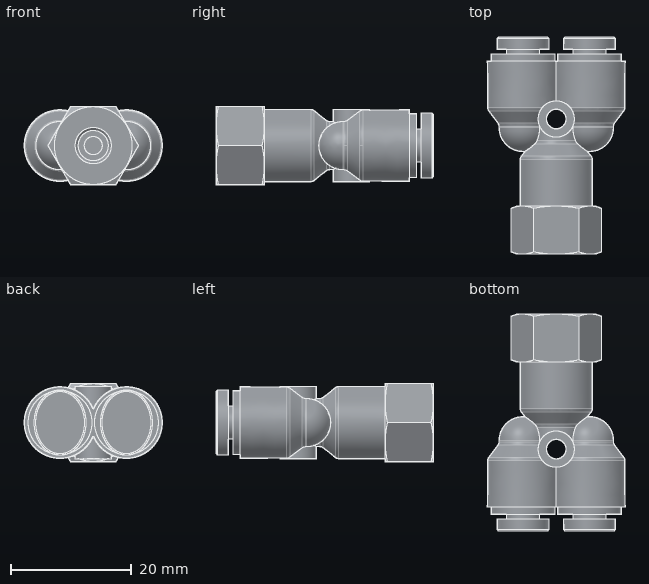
import cadquery as cq
import math


nut_across_flats = 13.0
nut_length = 8.0
nut_face_radius = 6.45
nut_bevel_angle = 20.0
thread_diameter = 5.0
thread_depth = 6.0
thread_mouth_diameter = 6.0
passage_diameter = 3.0

leg_spacing = 11.0
stem_radius = 6.0
neck_radius = 4.0
taper_length = 2.5
edge_round = 0.9
stem_taper_start = 16.0
leg_mouth_radius = 5.95
leg_shoulder_radius = 5.88
leg_mouth_y = 32.0
leg_shoulder_y = 24.0
ball_center_y = 21.0

boss_y = 22.4
boss_diameter = 6.0
boss_height = 12.0
boss_hole_diameter = 3.2

ring_diameter = 10.6
ring_length = 1.2
collar_stem_diameter = 5.5
collar_stem_length = 0.75
collar_width = 8.6
collar_height = 10.8
overall_length = 36.0
collar_chamfer = 0.25

leg_positions = [-leg_spacing / 2, leg_spacing / 2]
ring_back_y = leg_mouth_y + ring_length
collar_head_y = ring_back_y + collar_stem_length


def facing_back(x, y):
    """Workplane whose normal is +Y, centred on the axis at the given X."""
    return cq.Workplane(cq.Plane(origin=(x, y, 0), xDir=(1, 0, 0), normal=(0, 1, 0)))


def cylinder(x, y, diameter, length):
    """Solid cylinder running back along +Y from the given position."""
    return facing_back(x, y).circle(diameter / 2).extrude(length)


def revolve_about_y(profile):
    """Turn a closed (radius, Y) profile about the Y axis."""
    return profile.close().revolve(360, (0, 0, 0), (0, 1, 0))


def round_circles_at(solid, y_positions):
    """Round the circular edges of a turned solid that lie at the given Y positions."""
    edges = [
        edge for edge in solid.edges("%CIRCLE").vals()
        if any(math.isclose(edge.Center().y, y) for y in y_positions)
    ]
    return solid.newObject(edges).fillet(edge_round)


def make_stem():
    taper_end = stem_taper_start + taper_length
    profile = (
        cq.Workplane("XY")
        .moveTo(0, nut_length)
        .lineTo(stem_radius, nut_length)
        .lineTo(stem_radius, stem_taper_start)
        .lineTo(neck_radius, taper_end)
        .lineTo(neck_radius, boss_y)
        .lineTo(0, boss_y)
    )
    return round_circles_at(revolve_about_y(profile), [stem_taper_start, taper_end])


def make_leg(x):
    taper_end = leg_shoulder_y - taper_length
    diagonal = neck_radius * math.sqrt(0.5)
    profile = (
        cq.Workplane("XY")
        .moveTo(0, leg_mouth_y)
        .lineTo(leg_mouth_radius, leg_mouth_y)
        .lineTo(leg_shoulder_radius, leg_shoulder_y)
        .lineTo(neck_radius, taper_end)
        .lineTo(neck_radius, ball_center_y)
        .threePointArc((diagonal, ball_center_y - diagonal), (0, ball_center_y - neck_radius))
    )
    leg = round_circles_at(revolve_about_y(profile), [leg_shoulder_y, taper_end])
    return leg.translate((x, 0, 0))


def make_body():
    """Stem, two legs and the cross-drilled boss as one moulded piece."""
    body = make_stem()
    for x in leg_positions:
        body = body.union(make_leg(x))
    boss_plane = cq.Workplane("XY", origin=(0, boss_y, 0))
    boss = boss_plane.circle(boss_diameter / 2).extrude(boss_height / 2, both=True)
    hole = boss_plane.circle(boss_hole_diameter / 2).extrude(boss_height, both=True)
    return body.union(boss).cut(hole)


def make_nut():
    """Hex with both ends bevelled at the corners and a stepped bore."""
    corner_radius = nut_across_flats / math.sqrt(3)
    bevel_length = (corner_radius - nut_face_radius) * math.tan(math.radians(nut_bevel_angle))
    hexagon = facing_back(0, 0).polygon(6, 2 * corner_radius).extrude(nut_length)
    bevel_profile = (
        cq.Workplane("XY")
        .moveTo(0, 0)
        .lineTo(nut_face_radius, 0)
        .lineTo(corner_radius, bevel_length)
        .lineTo(corner_radius, nut_length - bevel_length)
        .lineTo(nut_face_radius, nut_length)
        .lineTo(0, nut_length)
    )
    mouth_depth = (thread_mouth_diameter - thread_diameter) / 2
    bore_profile = (
        cq.Workplane("XY")
        .moveTo(0, 0)
        .lineTo(thread_mouth_diameter / 2, 0)
        .lineTo(thread_diameter / 2, mouth_depth)
        .lineTo(thread_diameter / 2, thread_depth)
        .lineTo(passage_diameter / 2, thread_depth)
        .lineTo(passage_diameter / 2, nut_length)
        .lineTo(0, nut_length)
    )
    return hexagon.intersect(revolve_about_y(bevel_profile)).cut(revolve_about_y(bore_profile))


def make_guide_ring(x):
    return cylinder(x, leg_mouth_y, ring_diameter, ring_length)


def make_release_collar(x):
    """Round stem carrying an elliptical push head."""
    stem = cylinder(x, ring_back_y, collar_stem_diameter, collar_stem_length)
    head = (
        facing_back(x, collar_head_y)
        .ellipse(collar_width / 2, collar_height / 2)
        .extrude(overall_length - collar_head_y)
        .faces(">Y")
        .chamfer(collar_chamfer)
    )
    return stem.union(head)


body = make_body()
nut = make_nut()
guide_rings = [make_guide_ring(x) for x in leg_positions]
release_collars = [make_release_collar(x) for x in leg_positions]

result = cq.Compound.makeCompound([
    body.solids().val(),
    nut.solids().val(),
    *[ring.solids().val() for ring in guide_rings],
    *[collar.solids().val() for collar in release_collars],
])